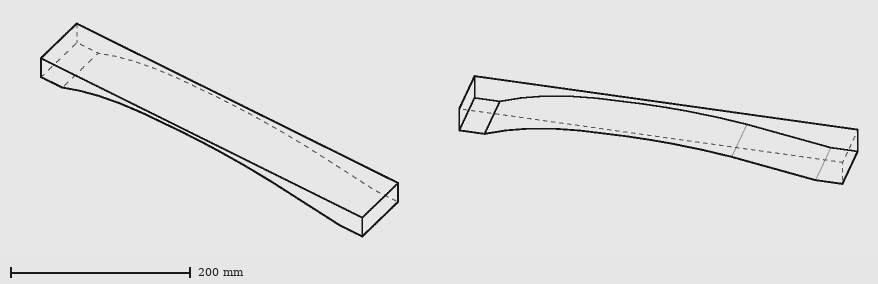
import cadquery as cq

length = 440.5
width = 68.5
height = 29.0

left_foot = 29.0
right_foot = 31.3

left_flank = (65.5, 12.0)
left_shoulder = (105.3, 19.5)
crown = (164.0, 23.0)
right_shoulder = (249.0, 21.5)
ramp_top = (312.5, 15.5)

hollow_start = (left_foot, 0)
ramp_foot = (length - right_foot, 0)
hollow_curve = [left_flank, left_shoulder, crown, right_shoulder, ramp_top]

profile = (
    cq.Workplane("XZ")
    .lineTo(*hollow_start)
    .spline(hollow_curve, includeCurrent=True)
    .lineTo(*ramp_foot)
    .lineTo(length, 0)
    .lineTo(length, height)
    .lineTo(0, height)
    .close()
)

result = profile.extrude(-width)